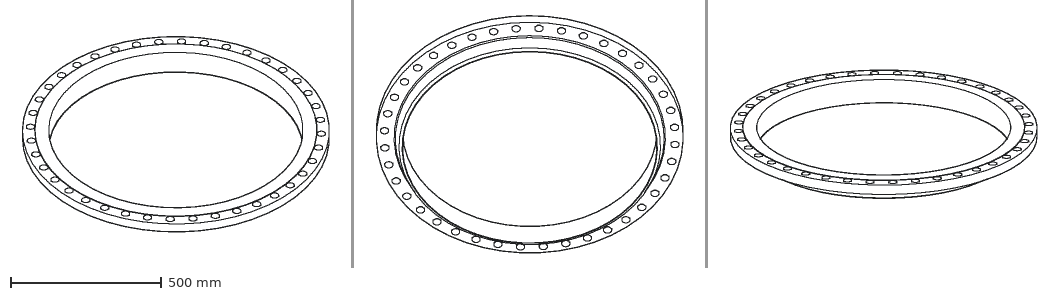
import cadquery as cq

outer_radius = 511.0
bore_radius = 423.0
total_height = 84.0

raised_face_radius = 469.0
raised_face_base_radius = 470.0
raised_face_height = 1.0
plate_thickness = 35.0

neck_root_radius = 452.0
neck_shoulder_radius = 448.0
neck_tip_radius = 436.0
shoulder_height = 5.0
bevel_height = 6.0
weld_land = 2.0

bolt_count = 40
bolt_circle_radius = 485.0
bolt_hole_diameter = 28.0

plate_bottom = total_height - plate_thickness
plate_top = total_height - raised_face_height


def make_ring():
    """Revolve the half section of plate, neck and weld bevel about Z."""
    section = [
        (bore_radius, 0),
        (bore_radius + weld_land, 0),
        (neck_tip_radius, bevel_height),
        (neck_shoulder_radius, plate_bottom - shoulder_height),
        (neck_root_radius, plate_bottom),
        (outer_radius, plate_bottom),
        (outer_radius, plate_top),
        (raised_face_base_radius, plate_top),
        (raised_face_radius, total_height),
        (bore_radius, total_height),
    ]
    return cq.Workplane("XZ").polyline(section).close().revolve(360, (0, 0), (0, 1))


def make_bolt_holes():
    """Cylinders evenly spaced on the bolt circle, the first one on +X."""
    return (
        cq.Workplane("XY")
        .polarArray(bolt_circle_radius, 0, 360, bolt_count)
        .circle(bolt_hole_diameter / 2)
        .extrude(total_height)
    )


result = make_ring().cut(make_bolt_holes())